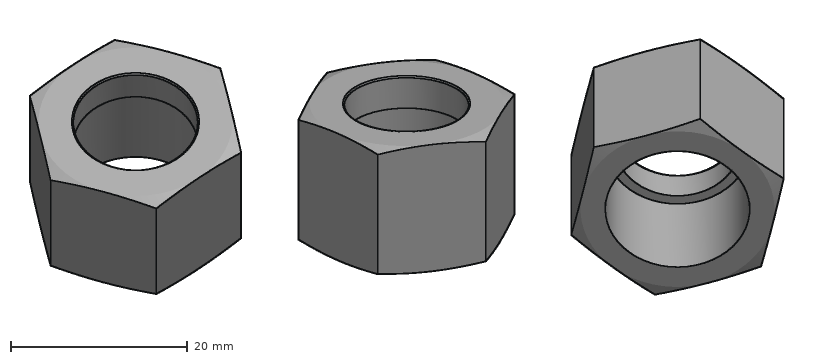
import cadquery as cq
import math

corner_diameter = 25.4
flat_width = corner_diameter * math.cos(math.pi / 6)
height = 16.0

bevel_drop = 0.45

bore_diameter = 14.1
bore_mouth_chamfer = 0.18
bore_depth = 4.01
socket_diameter = 16.38


def hexagon():
    """Hexagonal prism turned so two flats face the X directions."""
    blank = cq.Workplane("XY").polygon(6, corner_diameter).extrude(height)
    return blank.rotate((0, 0, 0), (0, 0, 1), 90)


def bevel_envelope():
    """Cylinder around the corners, coned down to the flat width at both ends."""
    profile = [
        (0, 0),
        (flat_width / 2, 0),
        (corner_diameter / 2, bevel_drop),
        (corner_diameter / 2, height - bevel_drop),
        (flat_width / 2, height),
        (0, height),
    ]
    return cq.Workplane("XZ").polyline(profile).close().revolve(360, (0, 0), (0, 1))


def stepped_bore():
    """Chamfered bore from the top that opens into a wider socket below."""
    bore_radius = bore_diameter / 2
    socket_radius = socket_diameter / 2
    shoulder_z = height - bore_depth
    profile = [
        (0, 0),
        (socket_radius, 0),
        (socket_radius, shoulder_z),
        (bore_radius, shoulder_z),
        (bore_radius, height - bore_mouth_chamfer),
        (bore_radius + bore_mouth_chamfer, height),
        (0, height),
    ]
    return cq.Workplane("XZ").polyline(profile).close().revolve(360, (0, 0), (0, 1))


result = hexagon().intersect(bevel_envelope()).cut(stepped_bore())